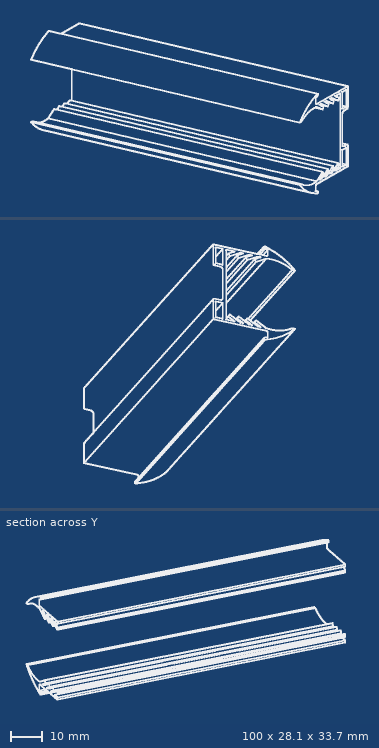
import cadquery as cq
import math

length = 100.0
depth = 28.1
height = 33.7
half_height = height / 2

wall = 0.9
channel_half_height = 13.5
inner_half_height = channel_half_height - wall
web_back = 3.3
web_front = 4.5

chamber_bottom = 6.0
chamber_corner_radius = 0.5
web_fillet_radius = 1.0

step_depth = 18.7
step_fillet_radius = 0.5
lip_depth = 17.4
lip_thickness = 0.9
lip_nose_height = 0.3
lip_nose_setback = 0.4
flange_arc_start = (18.7, 16.5)
flange_mid = (23.6, 14.2)
flange_tip_z = 10.5
flange_tip_width = 1.0
inner_arc_start = (18.1, 12.5)
inner_arc_crown = (21.2, 12.6)

tooth_count = 4
tooth_pitch = 3.0
tooth_tip = (5.7, 10.5)
tooth_thickness = 1.0
tooth_angle = math.radians(30)
tooth_length = 4.2


def profile_plane():
    """Plane whose local x is depth from the back face and local y is Z."""
    return cq.Workplane(cq.Plane(origin=(length / 2, depth / 2, 0), xDir=(0, -1, 0), normal=(-1, 0, 0)))


def block(back, front, bottom, top):
    """Full-length bar with a rectangular section."""
    return (
        profile_plane()
        .moveTo((back + front) / 2, (bottom + top) / 2)
        .rect(front - back, top - bottom)
        .extrude(length)
    )


def upper_channel():
    """Side wall, half of the web and one hollow chamber."""
    outline = (
        profile_plane()
        .moveTo(0, channel_half_height)
        .lineTo(step_depth, channel_half_height)
        .lineTo(step_depth, inner_half_height)
        .lineTo(web_front, inner_half_height)
        .lineTo(web_front, 0)
        .lineTo(web_back, 0)
        .lineTo(web_back, chamber_bottom - web_fillet_radius)
        .radiusArc((web_back - web_fillet_radius, chamber_bottom), -web_fillet_radius)
        .lineTo(chamber_corner_radius, chamber_bottom)
        .radiusArc((0, chamber_bottom + chamber_corner_radius), chamber_corner_radius)
        .close()
        .extrude(length)
    )
    return outline.cut(block(wall, web_back, chamber_bottom + wall, inner_half_height))


def upper_flange():
    """Arched flange with an overhanging lip and a tapered tip."""
    lip_bottom = half_height - lip_thickness
    return (
        profile_plane()
        .moveTo(step_depth - step_fillet_radius, channel_half_height)
        .radiusArc((step_depth, channel_half_height + step_fillet_radius), -step_fillet_radius)
        .lineTo(step_depth, lip_bottom - lip_nose_setback / 2)
        .lineTo(lip_depth + lip_nose_setback, lip_bottom)
        .lineTo(lip_depth, lip_bottom + lip_nose_setback)
        .lineTo(lip_depth, lip_bottom + lip_nose_setback + lip_nose_height)
        .lineTo(lip_depth + lip_nose_setback, half_height)
        .lineTo(*flange_arc_start)
        .threePointArc(flange_mid, (depth, flange_tip_z))
        .lineTo(depth - flange_tip_width, flange_tip_z)
        .threePointArc(inner_arc_crown, inner_arc_start)
        .close()
        .extrude(length)
    )


def upper_tooth(index):
    """Tooth leaning towards the web, trimmed flush inside the side wall."""
    tip_depth = tooth_tip[0] + index * tooth_pitch
    along = (tooth_length * math.cos(tooth_angle), tooth_length * math.sin(tooth_angle))
    across = (-tooth_thickness * math.sin(tooth_angle), tooth_thickness * math.cos(tooth_angle))
    tooth = (
        profile_plane()
        .moveTo(tip_depth, tooth_tip[1])
        .line(*along)
        .line(*across)
        .line(-along[0], -along[1])
        .close()
        .extrude(length)
    )
    return tooth.intersect(block(0, depth, 0, channel_half_height - wall / 2))


upper_half = upper_channel().union(upper_flange())
for tooth_index in range(tooth_count):
    upper_half = upper_half.union(upper_tooth(tooth_index))

result = upper_half.union(upper_half.mirror("XY")).clean()